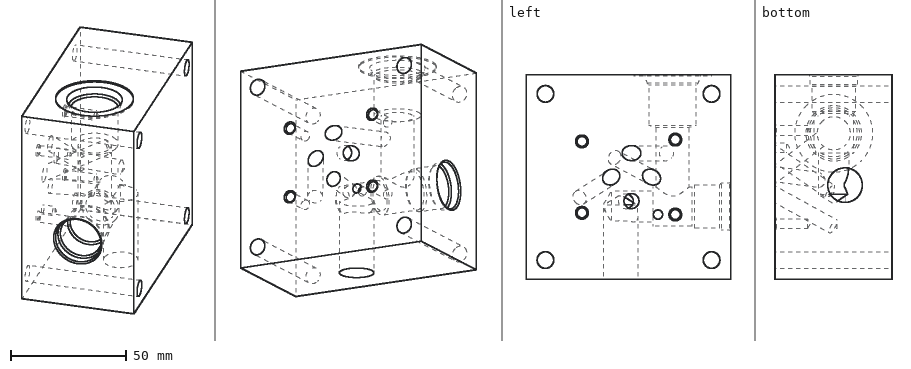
import cadquery as cq
import math

WIDTH = 50.8
LENGTH = 88.9
HEIGHT = 88.9
MID_X = WIDTH / 2
DRILL_POINT_ANGLE = 118.0

CAVITY_Y = 25.4
SPOTFACE_DIAMETER = 33.8
SPOTFACE_DEPTH = 0.6
CAVITY_MOUTH_DIAMETER = 24.1
CAVITY_SEAT_DIAMETER = 22.3
CAVITY_SEAT_DEPTH = SPOTFACE_DEPTH + 2.9
CAVITY_THREAD_DIAMETER = 20.4
CAVITY_SHOULDER_DEPTH = 22.0
CAVITY_NOSE_DIAMETER = 14.4
CAVITY_SHOULDER_SLOPE = 15.0

PORT_Z = 31.75
PORT_RIM_DIAMETER = 21.9
PORT_MOUTH_DIAMETER = 20.5
PORT_MOUTH_DEPTH = 4.2
PORT_THREAD_DIAMETER = 18.8
PORT_THREAD_DEPTH = 16.0
PORT_PASSAGE_DIAMETER = 17.0
PORT_PASSAGE_DEPTH = 34.0
PORT_BORE_DIAMETER = 13.3
PORT_BORE_DEPTH = 52.0

RISER_X = MID_X + 5.0
RISER_Y = 48.0
RISER_DIAMETER = 15.0
RISER_SHOULDER_Z = PORT_Z + 0.6

MOUNT_DIAMETER = 7.1
MOUNT_INSET = 8.4

PATTERN_Y = 64.65
PATTERN_Z = 59.9
BOLT_OFFSETS = [(0, 0), (40.5, -0.75), (0, 31.0), (40.5, 31.75)]
BOLT_THREAD_DIAMETER = 5.5
BOLT_DRILL_DIAMETER = 4.3
BOLT_DEPTH = 14.0
PIN_OFFSET = (33.0, 31.75)
PIN_DIAMETER = 4.0
PIN_DEPTH = 5.0

PASSAGE_DIAMETER = 6.5
TANK_PASSAGE = ((21.5, 5.1), (-0.77, 0.0), 28.0)
PRESSURE_PASSAGE = ((21.5, 25.9), (0.13, 0.0), 22.0)
LEFT_PASSAGE = ((12.7, 15.5), (0.55, -0.35), 30.0)
RIGHT_PASSAGE = ((30.2, 15.5), (0.68, 0.36), 30.0)
PASSAGES = [TANK_PASSAGE, PRESSURE_PASSAGE, LEFT_PASSAGE, RIGHT_PASSAGE]


def point_length(diameter):
    """Length of a drill's conical point."""
    return diameter / 2 / math.tan(math.radians(DRILL_POINT_ANGLE / 2))


def bore(origin, direction, stations):
    """Turned solid through (depth, diameter) stations measured along a direction."""
    outline = [(diameter / 2, depth) for depth, diameter in stations]
    if stations[-1][1] > 0:
        outline.append((0, stations[-1][0]))
    inward = cq.Vector(*direction).normalized()
    helper = cq.Vector(1, 0, 0) if abs(inward.x) < 0.5 else cq.Vector(0, 1, 0)
    radial = inward.cross(helper).normalized()
    plane = cq.Plane(origin, xDir=radial, normal=radial.cross(inward))
    profile = cq.Workplane(plane).moveTo(0, stations[0][0]).polyline(outline, includeCurrent=True)
    return profile.close().revolve(360, (0, 0, 0), (0, 1, 0))


def drilling(origin, direction, diameter, depth, start=0.0):
    """Round hole with a conical drill point beyond its full-diameter depth."""
    stations = [(start, diameter), (depth, diameter), (depth + point_length(diameter), 0)]
    return bore(origin, direction, stations)


def top_cavity():
    """Spotfaced cavity whose nose runs down into the front port passage."""
    seat_step = (CAVITY_SEAT_DIAMETER - CAVITY_THREAD_DIAMETER) / 2
    shoulder_width = (CAVITY_THREAD_DIAMETER - CAVITY_NOSE_DIAMETER) / 2
    shoulder_length = shoulder_width * math.tan(math.radians(CAVITY_SHOULDER_SLOPE))
    stations = [
        (0, SPOTFACE_DIAMETER),
        (SPOTFACE_DEPTH, SPOTFACE_DIAMETER),
        (SPOTFACE_DEPTH, CAVITY_MOUTH_DIAMETER),
        (CAVITY_SEAT_DEPTH, CAVITY_SEAT_DIAMETER),
        (CAVITY_SEAT_DEPTH + seat_step, CAVITY_THREAD_DIAMETER),
        (CAVITY_SHOULDER_DEPTH, CAVITY_THREAD_DIAMETER),
        (CAVITY_SHOULDER_DEPTH + shoulder_length, CAVITY_NOSE_DIAMETER),
        (HEIGHT - PORT_Z, CAVITY_NOSE_DIAMETER),
    ]
    return bore((MID_X, CAVITY_Y, HEIGHT), (0, 0, -1), stations)


def front_port():
    """Chamfered port that narrows in steps to a bore with a drill point."""
    rim_chamfer = (PORT_RIM_DIAMETER - PORT_MOUTH_DIAMETER) / 2
    mouth_step = (PORT_MOUTH_DIAMETER - PORT_THREAD_DIAMETER) / 2
    thread_step = (PORT_THREAD_DIAMETER - PORT_PASSAGE_DIAMETER) / 2
    stations = [
        (0, PORT_RIM_DIAMETER),
        (rim_chamfer, PORT_MOUTH_DIAMETER),
        (PORT_MOUTH_DEPTH, PORT_MOUTH_DIAMETER),
        (PORT_MOUTH_DEPTH + mouth_step, PORT_THREAD_DIAMETER),
        (PORT_THREAD_DEPTH, PORT_THREAD_DIAMETER),
        (PORT_THREAD_DEPTH + thread_step, PORT_PASSAGE_DIAMETER),
        (PORT_PASSAGE_DEPTH, PORT_PASSAGE_DIAMETER),
        (PORT_PASSAGE_DEPTH, PORT_BORE_DIAMETER),
        (PORT_BORE_DEPTH, PORT_BORE_DIAMETER),
        (PORT_BORE_DEPTH + point_length(PORT_BORE_DIAMETER), 0),
    ]
    return bore((MID_X, 0, PORT_Z), (0, 1, 0), stations)


def pattern_point(offset):
    """Point on the valve face at an offset from the first bolt hole."""
    return (0, PATTERN_Y - offset[0], PATTERN_Z - offset[1])


def bolt_hole(offset):
    """Blind valve bolt hole with a chamfered mouth."""
    chamfer = (BOLT_THREAD_DIAMETER - BOLT_DRILL_DIAMETER) / 2
    stations = [
        (0, BOLT_THREAD_DIAMETER),
        (chamfer, BOLT_DRILL_DIAMETER),
        (BOLT_DEPTH, BOLT_DRILL_DIAMETER),
        (BOLT_DEPTH + point_length(BOLT_DRILL_DIAMETER), 0),
    ]
    return bore(pattern_point(offset), (1, 0, 0), stations)


def oil_passage(offset, drift, depth):
    """Slanted drilling, started outside the block so that its mouth is complete."""
    direction = (1, drift[0], drift[1])
    return drilling(pattern_point(offset), direction, PASSAGE_DIAMETER, depth, -PASSAGE_DIAMETER)


def riser():
    """Vertical drilling from the bottom face."""
    return drilling((RISER_X, RISER_Y, 0), (0, 0, 1), RISER_DIAMETER, RISER_SHOULDER_Z)


def mount_hole(y, z):
    """Plain hole through the full width of the block."""
    return bore((0, y, z), (1, 0, 0), [(0, MOUNT_DIAMETER), (WIDTH, MOUNT_DIAMETER)])


def pin_hole():
    """Blind locating pin hole in the valve face."""
    return drilling(pattern_point(PIN_OFFSET), (1, 0, 0), PIN_DIAMETER, PIN_DEPTH)


result = cq.Workplane("XY").box(WIDTH, LENGTH, HEIGHT, centered=False)
result = result.cut(top_cavity())
result = result.cut(front_port())
result = result.cut(riser())

for mount_y in (MOUNT_INSET, LENGTH - MOUNT_INSET):
    for mount_z in (MOUNT_INSET, HEIGHT - MOUNT_INSET):
        result = result.cut(mount_hole(mount_y, mount_z))

for bolt_offset in BOLT_OFFSETS:
    result = result.cut(bolt_hole(bolt_offset))

result = result.cut(pin_hole())

for passage_offset, passage_drift, passage_depth in PASSAGES:
    result = result.cut(oil_passage(passage_offset, passage_drift, passage_depth))